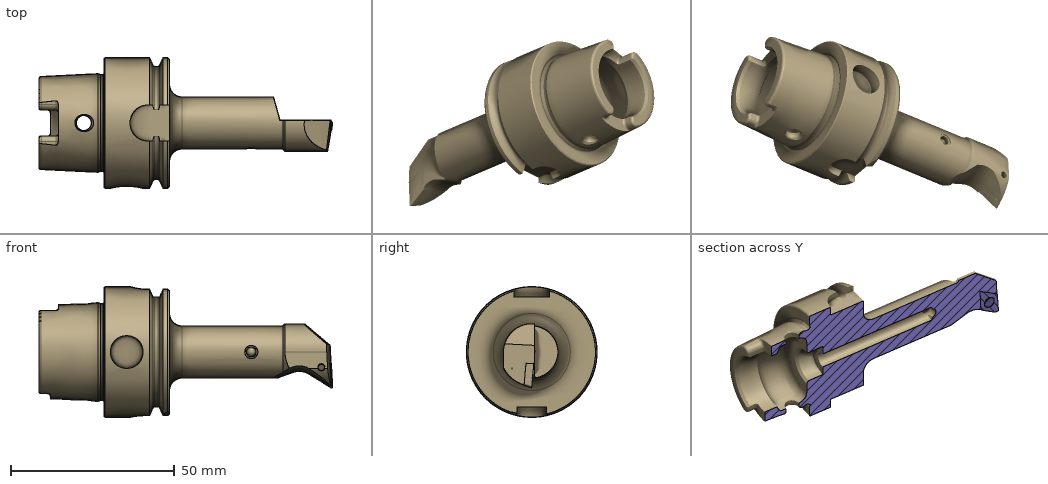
import cadquery as cq
import math


taper_length = 20.0
gauge_radius = 15.0
gauge_distance = 4.0
taper_slope = 0.05
tail_round = 0.75
relief_start_x = -1.9
relief_radius = 14.8
relief_floor_start_x = -1.1
relief_floor_end_x = -0.4
face_recess_radius = 16.1
face_recess_depth = 0.3

bore_diameter = 21.0
bore_mouth_diameter = 22.1
bore_mouth_length = 0.9
bore_land_length = 8.0
clamp_bore_diameter = 25.5
clamp_shoulder_angle = 60.0
clamp_bore_round_x = -3.8
clamp_bore_floor_diameter = 20.0
tube_seat_diameter = 11.0
tube_seat_mouth_diameter = 12.5
tube_seat_depth = 6.0
clamp_hole_diameter = 4.6
clamp_hole_mouth_diameter = 5.7
clamp_hole_x = -6.25

drive_slot_half_width = 3.95
drive_slot_wall_height = 11.06
drive_slot_round = 1.7
drive_slot_floor_fillet = 0.8
drive_slot_bottom_z = 8.0
drive_slot_depths = {1: 6.0, -1: 3.5}

flange_radius = 20.0
flange_length = 20.0
flange_back_chamfer = 0.3
flange_front_chamfer_length = 0.7
flange_front_chamfer_height = 0.5
grip_groove_x = 15.95
grip_groove_floor_radius = 17.35
grip_groove_mouth_width = 4.2
grip_groove_angle = 25.0
grip_groove_fillet = 0.45
keyway_widths = {1: 11.0, -1: 9.0}
keyway_start_x = 7.9
keyway_floor_height = 16.85
chip_pocket_diameter = 10.0
chip_pocket_x = 6.9
chip_pocket_floor_fillet = 0.3
chip_pocket_depth = 4.5

shank_radius = 8.0
shank_root_fillet = 3.8
coolant_diameter = 5.0
cross_hole_x = 45.0
cross_hole_diameter = 3.3
cross_hole_end_y = 3.0
drill_half_angle = 59.0

sleeve_diameter = 4.0
sleeve_length = 4.0
sleeve_face_y = -7.5
ball_diameter = 3.0

head_start_x = 54.65
head_radius = 8.65
head_top_y = 0.85
step_foot_x = 53.8
step_angle = 15.6
lower_round_radius = 10.5
lower_round_center_y = 0.6
front_face_x = 69.15
front_clearance = 7.0
top_slope_start_x = 61.2
top_slope_angle = 40.0
top_slope_tilt = 3.0

reach = 69.9
tip_offset = 10.95
insert_inscribed_diameter = 6.35
insert_angle = 55.0
insert_thickness = 2.38
insert_clearance = 7.0
insert_nose_radius = 0.4
insert_hole_diameter = 2.8
front_edge_lean = 3.0
insert_tilt = 5.0

screw_diameter = 2.5
screw_head_diameter = 3.85
screw_head_cone_angle = 30.0
screw_tip_depth = 6.5
screw_pilot_diameter = 2.05

flute_tilt = 10.0
flute_start_x = 52.4
flute_rise_angle = 19.5
flute_radius = 6.0
flute_reach = 20.0
flute_insert_gap = 0.15

far = 40.0
pick_margin = 0.1


def tan_deg(angle):
    return math.tan(math.radians(angle))


def taper_radius(x):
    return gauge_radius + taper_slope * (x + gauge_distance)


def cylinder(start, direction, diameter, length):
    return cq.Workplane(
        cq.Solid.makeCylinder(diameter / 2, length, cq.Vector(*start), cq.Vector(*direction))
    )


def turned(points):
    return cq.Workplane("XY").polyline(points).close().revolve(360, (0, 0, 0), (1, 0, 0))


def turned_body():
    """Taper, flange and round shank as one revolved outline."""
    tail_x = -taper_length
    mouth_half = grip_groove_mouth_width / 2
    floor_half = mouth_half - (flange_radius - grip_groove_floor_radius) * tan_deg(grip_groove_angle)
    diagonal = shank_root_fillet * math.sqrt(0.5)
    root_x = flange_length + shank_root_fillet
    root_radius = shank_radius + shank_root_fillet
    outline = (
        cq.Workplane("XY")
        .moveTo(tail_x, 0)
        .lineTo(tail_x, taper_radius(tail_x))
        .lineTo(relief_start_x, taper_radius(relief_start_x))
        .lineTo(relief_floor_start_x, relief_radius)
        .lineTo(relief_floor_end_x, relief_radius)
        .lineTo(face_recess_depth, relief_radius + face_recess_depth - relief_floor_end_x)
        .lineTo(0, face_recess_radius)
        .lineTo(0, flange_radius - flange_back_chamfer)
        .lineTo(flange_back_chamfer, flange_radius)
        .lineTo(grip_groove_x - mouth_half, flange_radius)
        .lineTo(grip_groove_x - floor_half, grip_groove_floor_radius)
        .lineTo(grip_groove_x + floor_half, grip_groove_floor_radius)
        .lineTo(grip_groove_x + mouth_half, flange_radius)
        .lineTo(flange_length - flange_front_chamfer_length, flange_radius)
        .lineTo(flange_length, flange_radius - flange_front_chamfer_height)
        .lineTo(flange_length, root_radius)
        .threePointArc((root_x - diagonal, root_radius - diagonal), (root_x, shank_radius))
        .lineTo(head_start_x, shank_radius)
        .lineTo(head_start_x, 0)
        .close()
    )
    body = outline.revolve(360, (0, 0, 0), (1, 0, 0))
    groove_floor_edges = cq.selectors.BoxSelector(
        (grip_groove_x - floor_half - pick_margin, -grip_groove_floor_radius - pick_margin, -far),
        (grip_groove_x + floor_half + pick_margin, grip_groove_floor_radius + pick_margin, far),
    )
    return body.edges(groove_floor_edges).edges("%CIRCLE").fillet(grip_groove_fillet)


def inner_bore():
    """Clamping bore, coolant tube seat and the drilled coolant duct."""
    tail_x = -taper_length
    bore = bore_diameter / 2
    clamp = clamp_bore_diameter / 2
    seat = tube_seat_diameter / 2
    seat_mouth = tube_seat_mouth_diameter / 2
    duct = coolant_diameter / 2
    shoulder_x = tail_x + bore_land_length
    floor_round = clamp - clamp_bore_floor_diameter / 2
    bore_floor_x = clamp_bore_round_x + floor_round
    seat_floor_x = bore_floor_x + tube_seat_depth
    outline = (
        cq.Workplane("XY")
        .moveTo(tail_x, 0)
        .lineTo(tail_x, bore_mouth_diameter / 2)
        .lineTo(tail_x + bore_mouth_length, bore)
        .lineTo(shoulder_x, bore)
        .lineTo(shoulder_x + (clamp - bore) / tan_deg(clamp_shoulder_angle), clamp)
        .lineTo(clamp_bore_round_x, clamp)
        .radiusArc((bore_floor_x, clamp - floor_round), floor_round)
        .lineTo(bore_floor_x, seat_mouth)
        .lineTo(bore_floor_x + seat_mouth - seat, seat)
        .lineTo(seat_floor_x, seat)
        .lineTo(seat_floor_x, duct)
        .lineTo(cross_hole_x, duct)
        .lineTo(cross_hole_x + duct / tan_deg(drill_half_angle), 0)
        .close()
    )
    return outline.revolve(360, (0, 0, 0), (1, 0, 0))


def clamp_holes():
    """Radial hole through both taper walls, countersunk on the outside."""
    drill = clamp_hole_diameter / 2
    sink = clamp_hole_mouth_diameter / 2 - drill
    surface = taper_radius(clamp_hole_x)
    return (
        cq.Workplane("XZ", origin=(clamp_hole_x, 0, 0))
        .polyline([
            (0, -surface - sink),
            (drill + 2 * sink, -surface - sink),
            (drill, sink - surface),
            (drill, surface - sink),
            (drill + 2 * sink, surface + sink),
            (0, surface + sink),
        ])
        .close()
        .revolve(360, (0, 0, 0), (0, 1, 0))
    )


def drive_slot(side, depth):
    """Slot in the tail end that opens outwards over rounded shoulders, with a filleted floor."""
    half = drive_slot_half_width
    center_y = half + drive_slot_round
    wall_top = drive_slot_wall_height
    shoulder = wall_top + drive_slot_round
    slot = (
        cq.Workplane("YZ", origin=(-taper_length, 0, 0))
        .moveTo(-half, drive_slot_bottom_z)
        .lineTo(half, drive_slot_bottom_z)
        .lineTo(half, wall_top)
        .radiusArc((center_y, shoulder), drive_slot_round)
        .lineTo(far, shoulder)
        .lineTo(far, far)
        .lineTo(-far, far)
        .lineTo(-far, shoulder)
        .lineTo(-center_y, shoulder)
        .radiusArc((-half, wall_top), drive_slot_round)
        .close()
        .extrude(depth)
    )
    slot = slot.faces(">X").edges().fillet(drive_slot_floor_fillet)
    if side < 0:
        slot = slot.mirror("XY")
    return slot


def keyway(side, width):
    """Round-ended keyway from the front of the flange."""
    length = flange_length - keyway_start_x
    straight = length - width / 2
    cutter = (
        cq.Workplane("XY", origin=(0, 0, keyway_floor_height))
        .moveTo(flange_length - straight / 2, 0)
        .rect(straight, width)
        .extrude(far)
    )
    rounded_end = cylinder(
        (keyway_start_x + width / 2, 0, keyway_floor_height), (0, 0, 1), width, far
    )
    cutter = cutter.union(rounded_end)
    if side < 0:
        cutter = cutter.mirror("XY")
    return cutter


def chip_pocket():
    floor_y = chip_pocket_depth - flange_radius
    pocket = cylinder((chip_pocket_x, floor_y, 0), (0, -1, 0), chip_pocket_diameter, far)
    return pocket.faces(">Y").edges().fillet(chip_pocket_floor_fillet)


def plug_hole():
    """Cross drilling into the coolant duct, stepped to seat the sleeve."""
    sleeve_end_y = sleeve_face_y + sleeve_length
    seat = cylinder((cross_hole_x, sleeve_end_y, 0), (0, -1, 0), sleeve_diameter, far)
    drill = cylinder(
        (cross_hole_x, sleeve_end_y, 0), (0, 1, 0), cross_hole_diameter, cross_hole_end_y - sleeve_end_y
    )
    return seat.union(drill)


tilt = math.radians(insert_tilt)
nose_center_x = reach - insert_nose_radius
nose_center_z = insert_nose_radius - tip_offset
seat_normal = (0, -math.cos(tilt), math.sin(tilt))
half_angle = insert_angle / 2
edge_direction = 90 + front_edge_lean
bisector = math.radians(edge_direction + half_angle)
half_long_diagonal = insert_inscribed_diameter / 2 / math.sin(math.radians(half_angle))
half_short_diagonal = half_long_diagonal * tan_deg(half_angle)
center_to_nose = half_long_diagonal - insert_nose_radius / math.sin(math.radians(half_angle))
insert_center = (
    nose_center_x + center_to_nose * math.cos(bisector),
    center_to_nose * math.sin(bisector) * math.sin(tilt),
    nose_center_z + center_to_nose * math.sin(bisector) * math.cos(tilt),
)
insert_plane = cq.Plane(insert_center, (1, 0, 0), seat_normal).rotated((0, 0, math.degrees(bisector)))


def rhombus():
    """Insert outline about its center, long diagonal along the local X axis."""
    return (
        cq.Workplane(insert_plane)
        .polyline([
            (half_long_diagonal, 0),
            (0, half_short_diagonal),
            (-half_long_diagonal, 0),
            (0, -half_short_diagonal),
        ])
        .close()
    )


def insert_blank():
    blank = rhombus().extrude(insert_thickness, taper=insert_clearance)
    nose_edges = cq.selectors.BoxSelector(
        (reach - 2, -far, -far), (reach + 2, far, nose_center_z + 2)
    )
    return blank.edges(nose_edges).edges("not #Y").fillet(insert_nose_radius)


def insert_pocket():
    """Seat of the insert, open above its rake face."""
    opening = rhombus().extrude(-far, taper=-insert_clearance)
    seat = rhombus().extrude(insert_thickness, taper=insert_clearance)
    return seat.union(opening)


def along_screw(diameter, start, end):
    return cq.Workplane(insert_plane).workplane(offset=start).circle(diameter / 2).extrude(end - start)


def screw_head():
    """Countersunk head, flush with the rake face."""
    height = (screw_head_diameter - screw_diameter) / 2 / tan_deg(screw_head_cone_angle)
    return (
        cq.Workplane(insert_plane)
        .circle(screw_head_diameter / 2)
        .extrude(height, taper=screw_head_cone_angle)
    )


def head_blank():
    """Head section along X, growing from the shank with a 45 degree cone."""
    corner_drop = math.sqrt(
        lower_round_radius**2 - (head_radius + lower_round_center_y) ** 2
    )
    bottom_z = -math.sqrt(lower_round_radius**2 - (head_top_y - lower_round_center_y) ** 2)
    upper_z = math.sqrt(head_radius**2 - head_top_y**2)
    arc_middle = head_radius * math.sqrt(0.5)
    lower_middle = lower_round_radius * math.sqrt(0.5)
    section = (
        cq.Workplane("YZ", origin=(head_start_x, 0, 0))
        .moveTo(head_top_y, upper_z)
        .threePointArc((-arc_middle, arc_middle), (-head_radius, 0))
        .lineTo(-head_radius, -corner_drop)
        .threePointArc((lower_round_center_y - lower_middle, -lower_middle), (head_top_y, bottom_z))
        .close()
        .extrude(reach - head_start_x)
    )
    growth = reach - head_start_x
    cone = turned([
        (head_start_x, 0),
        (head_start_x, shank_radius),
        (reach, shank_radius + growth),
        (reach, 0),
    ])
    return section.intersect(cone)


def step_cut():
    """Removes the +Y side of the shank end with a steep step down to the head."""
    run = (far - head_top_y) * tan_deg(step_angle)
    return (
        cq.Workplane("XY", origin=(0, 0, -far))
        .polyline([
            (step_foot_x, head_top_y),
            (step_foot_x - run, far),
            (reach + far, far),
            (reach + far, head_top_y),
        ])
        .close()
        .extrude(2 * far)
    )


def top_slope_cut():
    """Sloping flat from the top of the head down to the front, relieved towards -Y."""
    normal = (tan_deg(top_slope_angle), -tan_deg(top_slope_tilt), 1)
    flat = cq.Plane((top_slope_start_x, 0, head_radius), (0, 1, tan_deg(top_slope_tilt)), normal)
    return cq.Workplane(flat).rect(2 * far, 2 * far).extrude(far)


def front_cut():
    """Front face, leaning back like the insert edge and relieved towards -Y."""
    lean = tan_deg(front_edge_lean)
    relief = tan_deg(front_clearance)
    normal = (1, -relief, lean)
    face = cq.Plane((front_face_x, 0, 0), (0, 1, relief / lean), normal)
    return cq.Workplane(face).rect(2 * far, 2 * far).extrude(far)


def flute_cut():
    """Chip flute under the head: a rise, a round crest and the relief below the insert edge."""
    rise = math.radians(flute_rise_angle)
    fall = math.radians(180 - edge_direction - insert_angle)
    edge_offset = insert_nose_radius - flute_insert_gap
    nose_edge_x = nose_center_x - edge_offset * math.sin(fall)
    nose_edge_z = nose_center_z - edge_offset * math.cos(fall)
    gap = nose_edge_x - flute_start_x
    height = nose_edge_z + shank_radius
    meet = (height + gap * math.tan(fall)) / (math.tan(rise) + math.tan(fall))
    meet_x = flute_start_x + meet
    meet_z = -shank_radius + meet * math.tan(rise)
    tangent = flute_radius * math.tan((rise + fall) / 2)
    rise_end = (meet_x - tangent * math.cos(rise), meet_z - tangent * math.sin(rise))
    fall_start = (meet_x + tangent * math.cos(fall), meet_z - tangent * math.sin(fall))
    far_start = (flute_start_x - far, -shank_radius - far * math.tan(rise))
    far_end = (nose_edge_x + far, nose_edge_z - far * math.tan(fall))
    profile = (
        cq.Workplane("XZ")
        .moveTo(*far_start)
        .lineTo(*rise_end)
        .radiusArc(fall_start, flute_radius)
        .lineTo(*far_end)
        .close()
    )
    run = flute_reach * tan_deg(flute_tilt)
    shifted = profile.val().moved(cq.Location(cq.Vector(0, -flute_reach, run)))
    return cq.Workplane(
        cq.Solid.extrudeLinear(shifted, [], cq.Vector(0, 2 * flute_reach, -2 * run))
    )


def make_holder():
    holder = turned_body().cut(clamp_holes())
    for side, depth in drive_slot_depths.items():
        holder = holder.cut(drive_slot(side, depth))
    holder = holder.faces("<X").edges().fillet(tail_round)
    holder = holder.union(head_blank())
    holder = holder.cut(step_cut()).cut(top_slope_cut()).cut(front_cut()).cut(flute_cut())
    holder = holder.cut(inner_bore()).cut(chip_pocket()).cut(plug_hole())
    for side, width in keyway_widths.items():
        holder = holder.cut(keyway(side, width))
    holder = holder.cut(insert_pocket())
    holder = holder.cut(along_screw(screw_diameter, 0, screw_tip_depth))
    return holder.cut(along_screw(screw_pilot_diameter, 0, far))


def make_insert():
    hole = along_screw(insert_hole_diameter, 0, insert_thickness)
    return insert_blank().cut(hole).cut(screw_head())


def make_screw():
    return along_screw(screw_diameter, 0, screw_tip_depth).union(screw_head())


def make_sleeve():
    sleeve = cylinder((cross_hole_x, sleeve_face_y, 0), (0, 1, 0), sleeve_diameter, sleeve_length)
    return sleeve.cut(cylinder((cross_hole_x, sleeve_face_y, 0), (0, 1, 0), ball_diameter, sleeve_length))


def make_ball():
    return cq.Workplane("XY", origin=(cross_hole_x, sleeve_face_y + sleeve_length / 2, 0)).sphere(
        ball_diameter / 2
    )


holder = make_holder()
insert = make_insert()
screw = make_screw()
sleeve = make_sleeve()
ball = make_ball()

result = cq.Compound.makeCompound(
    [holder.val(), insert.val(), screw.val(), sleeve.val(), ball.val()]
)